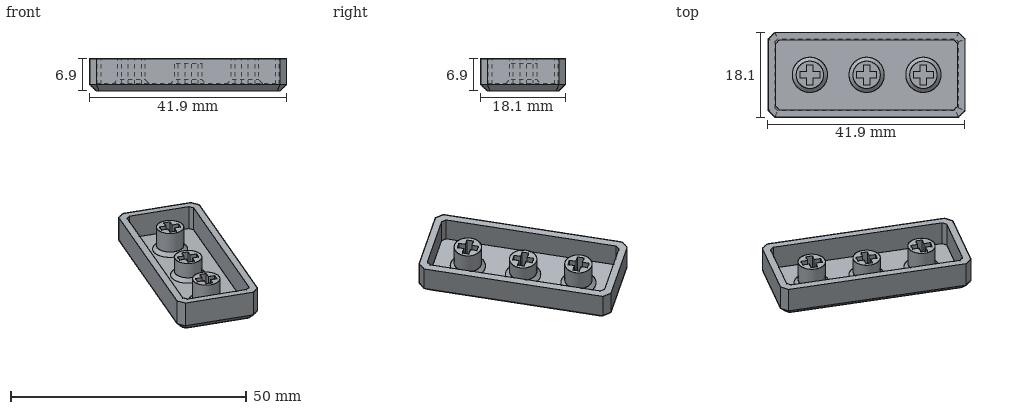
import cadquery as cq

length = 41.85
width = 18.05
height = 6.9
edge_chamfer = 1.42

wall = 1.6
floor_thickness = 1.6
cavity_chamfer = 0.8

stem_diameter = 5.8
middle_stem_drop = 1.0
stem_tops = [height, height - middle_stem_drop, height]
stem_spacing = 12.05
foot_flare = 0.85
cross_span = 4.25
cross_arm = 1.42


def make_shell():
    """Box with chamfered vertical and bottom edges, hollowed from the top."""
    body = cq.Workplane("XY").box(length, width, height, centered=(True, True, False))
    body = body.edges("|Z").chamfer(edge_chamfer)
    body = body.faces("<Z").edges().chamfer(edge_chamfer)
    cavity = (
        cq.Workplane("XY")
        .workplane(offset=floor_thickness)
        .rect(length - 2 * wall, width - 2 * wall)
        .extrude(height - floor_thickness)
        .edges("|Z")
        .chamfer(cavity_chamfer)
    )
    return body.cut(cavity)


def make_stem(stem_top):
    """Round post on the cavity floor, widening into a 45 degree cone at its foot."""
    radius = stem_diameter / 2
    profile = [
        (0, floor_thickness),
        (radius + foot_flare, floor_thickness),
        (radius, floor_thickness + foot_flare),
        (radius, stem_top),
        (0, stem_top),
    ]
    return cq.Workplane("XZ").polyline(profile).close().revolve(360, (0, 0, 0), (0, 1, 0))


def make_cross(stem_top):
    """Cross-shaped cutter reaching from the stem top down to the cavity floor."""
    cross_depth = stem_top - floor_thickness
    plane = cq.Workplane("XY").workplane(offset=floor_thickness)
    bar_x = plane.rect(cross_span, cross_arm).extrude(cross_depth)
    bar_y = plane.rect(cross_arm, cross_span).extrude(cross_depth)
    return bar_x.union(bar_y)


result = make_shell()
first_stem_x = -(len(stem_tops) - 1) / 2 * stem_spacing
for index, top in enumerate(stem_tops):
    stem = make_stem(top).cut(make_cross(top))
    result = result.union(stem.translate((first_stem_x + index * stem_spacing, 0, 0)))